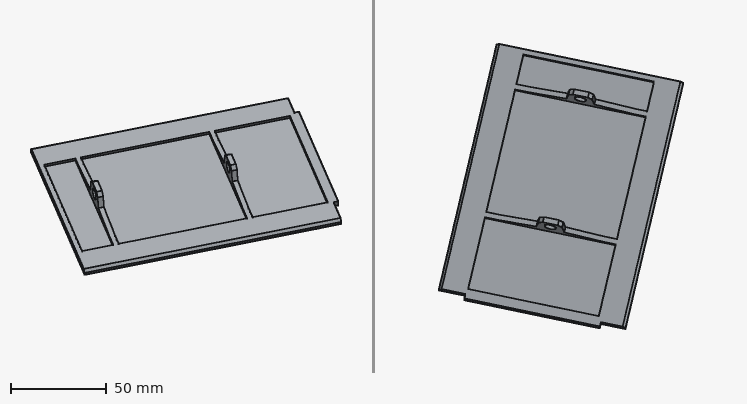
import cadquery as cq

plate_width = 100.0
plate_length = 140.0
plate_thickness = 3.0
side_chamfer = 1.5

tab_width = 72.6
tab_offset = -0.5
tab_length = 2.5

pocket_width = 70.0
pocket_depth = 1.5
end_border = 3.0
rib_thickness = 3.0
front_pocket_length = 17.0
middle_pocket_length = pocket_width

lug_height = 13.5
lug_top_half_width = 6.0
lug_corner_chamfer = 2.0
lug_base_half_width = 7.5
lug_base_height = 5.0
ramp_half_width = 28.0
hole_diameter = 6.0
hole_height = 8.5

front_rib_start = end_border + front_pocket_length
middle_pocket_start = front_rib_start + rib_thickness
rear_rib_start = middle_pocket_start + middle_pocket_length
rear_pocket_start = rear_rib_start + rib_thickness
rear_pocket_length = plate_length - end_border - rear_pocket_start


def block(width, length, height, y_start, z_start):
    """Box centred on X, starting at the given Y and Z."""
    return (
        cq.Workplane("XY")
        .box(width, length, height, centered=(True, False, False))
        .translate((0, y_start, z_start))
    )


def make_plate():
    """Plate with chamfered long top edges and a tab on its +Y end."""
    plate = block(plate_width, plate_length, plate_thickness, 0, 0)
    plate = plate.edges("|Y and >Z").chamfer(side_chamfer)
    tab = block(tab_width, tab_length, plate_thickness, plate_length, 0).translate((tab_offset, 0, 0))
    return plate.union(tab)


def make_pocket(y_start, length):
    """Cutter for one shallow panel in the top face."""
    return block(pocket_width, length, pocket_depth, y_start, plate_thickness - pocket_depth)


def make_lug(y_start):
    """Lug with sloping ramps and a cross hole, as thick as the rib below it."""
    right_side = [
        (ramp_half_width, plate_thickness),
        (lug_base_half_width, lug_base_height),
        (lug_top_half_width, lug_height),
    ]
    left_side = [(-x, z) for x, z in reversed(right_side)]
    floor_height = plate_thickness - pocket_depth
    base = [(-ramp_half_width, floor_height), (ramp_half_width, floor_height)]
    profile_plane = cq.Workplane("XZ", origin=(0, y_start, 0))
    outline = profile_plane.polyline(base + right_side + left_side).close()
    lug = outline.extrude(-rib_thickness)
    lug = lug.faces(">Z").edges("|Y").chamfer(lug_corner_chamfer)
    hole = profile_plane.center(0, hole_height).circle(hole_diameter / 2).extrude(-rib_thickness)
    return lug.cut(hole)


result = make_plate()

pockets = [
    (end_border, front_pocket_length),
    (middle_pocket_start, middle_pocket_length),
    (rear_pocket_start, rear_pocket_length),
]
for pocket_start, pocket_length in pockets:
    result = result.cut(make_pocket(pocket_start, pocket_length))

for rib_start in (front_rib_start, rear_rib_start):
    result = result.union(make_lug(rib_start))